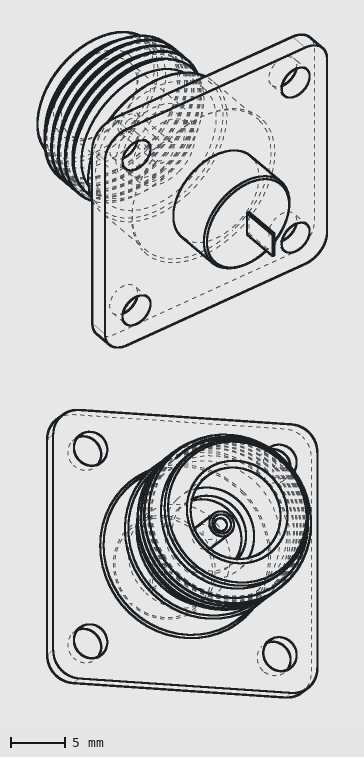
import cadquery as cq
import math

inch = 25.4
full_turn = 360
quarter_turn = 90

overall_length = 27.58
thread_start = 1.45
thread_end = 7.1
collar_start = 9.3
flange_start = 16.65
flange_thickness = 2.0
flange_end = flange_start + flange_thickness
rear_boss_length = 4.95
rear_boss_end = flange_end + rear_boss_length

barrel_radius = 6.9
barrel_edge_chamfer = 0.25
collar_radius = 5 / 8 * inch / 2
collar_edge_chamfer = 0.25
collar_flare = 0.25

threads_per_inch = 24
thread_pitch = inch / threads_per_inch
thread_major_radius = collar_radius
thread_root_radius = 7.4
thread_crest_width = thread_pitch / 8
thread_flank_angle = 30
thread_flank_slope = math.tan(math.radians(thread_flank_angle))
thread_entry_angle = 40
thread_runout_angle = 45
thread_barrel_overlap = 0.4
thread_inner_radius = barrel_radius - thread_barrel_overlap
thread_end_margin = 2.0
groove_clearance = 0.05
groove_start = 0.44
groove_turns = 7

flange_size = inch
flange_corner_radius = 2.5
mounting_hole_spacing = 18.2
mounting_hole_diameter = 3.2

rear_boss_radius = 4.9
rear_boss_chamfer = 0.2
tab_width = 2.5
tab_thickness = 0.25

bore_mouth_radius = 4.84
bore_radius = 4.32
bore_depth = 9.0
insulator_recess_radius = 3.55
insulator_recess_depth = 10.5
contact_front = 5.0
contact_radius = 1.18
contact_mouth_radius = 0.9
contact_hole_radius = 0.6
contact_hole_depth = 4.0


def turned(profile):
    """Revolve a closed (x, radius) profile about the X axis."""
    return cq.Workplane("XY").polyline(profile).close().revolve(full_turn, (0, 0), (1, 0))


def make_barrel():
    """Barrel, collar and the flare at the flange, solid and without the thread."""
    return turned([
        (0, 0),
        (0, barrel_radius - barrel_edge_chamfer),
        (barrel_edge_chamfer, barrel_radius),
        (collar_start, barrel_radius),
        (collar_start, collar_radius - collar_edge_chamfer),
        (collar_start + collar_edge_chamfer, collar_radius),
        (flange_start - collar_flare, collar_radius),
        (flange_start, collar_radius + collar_flare),
        (flange_start, 0),
    ])


def make_thread_groove():
    """Trapezoidal groove swept along a helix around the X axis."""
    groove_outer_radius = thread_major_radius + groove_clearance
    half_outer = (thread_pitch - thread_crest_width) / 2 + groove_clearance * thread_flank_slope
    half_root = half_outer - (groove_outer_radius - thread_root_radius) * thread_flank_slope
    helix = cq.Wire.makeHelix(thread_pitch, groove_turns * thread_pitch, thread_root_radius)
    groove = (
        cq.Workplane("XZ")
        .moveTo(thread_root_radius, -half_root)
        .lineTo(groove_outer_radius, -half_outer)
        .lineTo(groove_outer_radius, half_outer)
        .lineTo(thread_root_radius, half_root)
        .close()
        .sweep(cq.Workplane(helix), isFrenet=True)
    )
    return groove.rotate((0, 0, 0), (0, 1, 0), quarter_turn).translate((groove_start, 0, 0))


def make_thread_envelope():
    """Ring with conical ends that bounds the thread."""
    thread_height = thread_major_radius - barrel_radius
    entry_length = thread_height / math.tan(math.radians(thread_entry_angle))
    runout_length = thread_height / math.tan(math.radians(thread_runout_angle))
    return turned([
        (thread_start, thread_inner_radius),
        (thread_start, barrel_radius),
        (thread_start + entry_length, thread_major_radius),
        (thread_end - runout_length, thread_major_radius),
        (thread_end, barrel_radius),
        (thread_end, thread_inner_radius),
    ])


def make_thread():
    """Threaded ring: a plain sleeve, grooved along its length, then trimmed to the conical ends."""
    sleeve_start = thread_start - thread_end_margin
    sleeve_end = thread_end + thread_end_margin
    sleeve = turned([
        (sleeve_start, thread_inner_radius),
        (sleeve_start, thread_major_radius),
        (sleeve_end, thread_major_radius),
        (sleeve_end, thread_inner_radius),
    ])
    return sleeve.cut(make_thread_groove()).intersect(make_thread_envelope())


def make_flange():
    return (
        cq.Workplane("YZ", origin=(flange_start, 0, 0))
        .rect(flange_size, flange_size)
        .extrude(flange_thickness)
        .edges("|X")
        .fillet(flange_corner_radius)
        .faces("<X")
        .workplane(centerOption="CenterOfMass")
        .rect(mounting_hole_spacing, mounting_hole_spacing, forConstruction=True)
        .vertices()
        .hole(mounting_hole_diameter)
    )


def make_rear_boss():
    return (
        cq.Workplane("YZ", origin=(flange_end, 0, 0))
        .circle(rear_boss_radius)
        .extrude(rear_boss_length)
        .faces(">X")
        .chamfer(rear_boss_chamfer)
    )


def make_solder_tab():
    return (
        cq.Workplane("YZ", origin=(rear_boss_end, 0, 0))
        .rect(tab_thickness, tab_width)
        .extrude(overall_length - rear_boss_end)
    )


def make_socket():
    """Stepped bore with a 45 degree lead-in."""
    mouth_depth = bore_mouth_radius - bore_radius
    return turned([
        (0, 0),
        (0, bore_mouth_radius),
        (mouth_depth, bore_radius),
        (bore_depth, bore_radius),
        (bore_depth, insulator_recess_radius),
        (insulator_recess_depth, insulator_recess_radius),
        (insulator_recess_depth, 0),
    ])


def make_contact():
    """Tubular centre contact with a countersunk mouth."""
    mouth_end = contact_front + contact_mouth_radius - contact_hole_radius
    hole_end = contact_front + contact_hole_depth
    return turned([
        (contact_front, contact_mouth_radius),
        (contact_front, contact_radius),
        (insulator_recess_depth, contact_radius),
        (insulator_recess_depth, 0),
        (hole_end, 0),
        (hole_end, contact_hole_radius),
        (mouth_end, contact_hole_radius),
    ])


result = (
    make_barrel()
    .union(make_thread())
    .union(make_flange())
    .union(make_rear_boss())
    .union(make_solder_tab())
    .cut(make_socket())
    .union(make_contact())
)